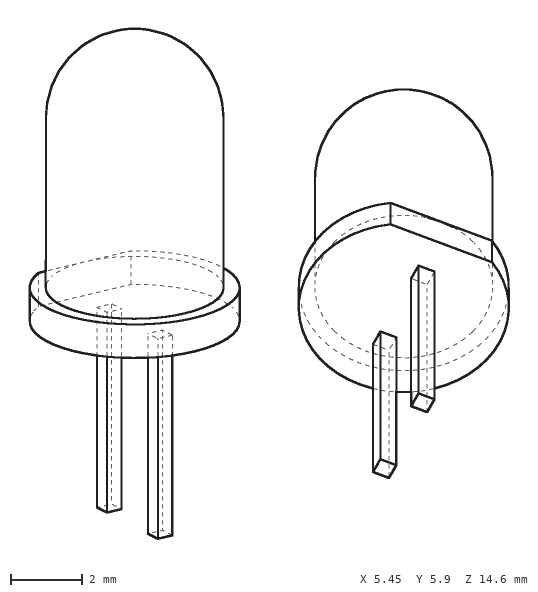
import cadquery as cq

total_height = 14.6
lead_length = 6.0
lens_top = total_height - lead_length

lens_diameter = 5.0
lens_radius = lens_diameter / 2
flange_diameter = 5.9
flange_radius = flange_diameter / 2
flange_height = 1.01
flat_x = -lens_radius

lead_width = 0.5
lead_pitch = 2.54


def make_flange():
    """Round flange with one flat on the -X side."""
    disc = cq.Workplane("XY").circle(flange_radius).extrude(flange_height)
    keep = (
        cq.Workplane("XY")
        .box(flange_diameter, flange_diameter, flange_height, centered=(False, True, False))
        .translate((flat_x, 0, 0))
    )
    return disc.intersect(keep)


def make_lens():
    """Cylinder and dome, revolved about the Z axis from a half profile."""
    dome_start = lens_top - lens_radius
    return (
        cq.Workplane("XZ")
        .lineTo(lens_radius, 0)
        .lineTo(lens_radius, dome_start)
        .radiusArc((0, lens_top), -lens_radius)
        .close()
        .revolve(360, (0, 0, 0), (0, 1, 0))
    )


def make_housing():
    """Lens and flange moulded as one body."""
    return make_flange().union(make_lens()).solids()


def make_lead(x):
    """Square lead hanging from the underside of the housing."""
    return (
        cq.Workplane("XY")
        .center(x, 0)
        .rect(lead_width, lead_width)
        .extrude(-lead_length)
    )


housing = make_housing()
leads = [make_lead(side * lead_pitch / 2) for side in (-1, 1)]

result = cq.Compound.makeCompound([housing.val(), *[lead.val() for lead in leads]])